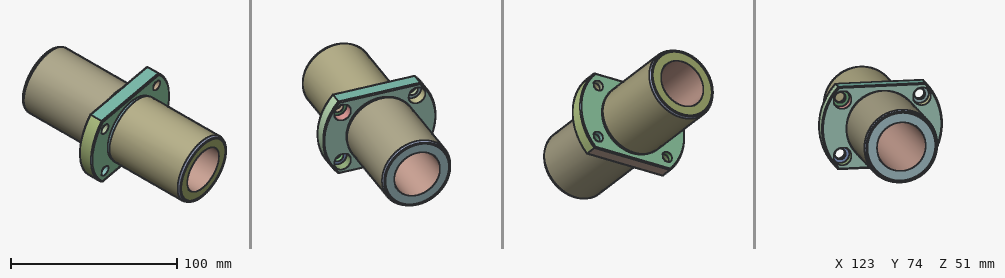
import cadquery as cq
import math

tube_length = 123.0
tube_diameter = 45.0
bore_diameter = 30.0

lead_in_length = 1.6
lead_in_depth = 0.7

recess_diameter = 41.7
recess_depth = 0.1

flange_diameter = 74.0
flange_height = 51.0
flange_thickness = 10.0
flange_chamfer = 0.7

groove_width = 2.0
groove_depth = 0.6
groove_overlap = 0.6

pitch_radius = 30.0
hole_angle = 35.5
hole_diameter = 6.6
counterbore_diameter = 11.0
counterbore_depth = 6.4


def x_cylinder(diameter, length, start_x):
    """Solid cylinder along X that begins at start_x."""
    return cq.Workplane("YZ").workplane(offset=start_x).circle(diameter / 2).extrude(length)


def make_tube():
    half_length = tube_length / 2
    radius = tube_diameter / 2
    half_profile = (
        cq.Workplane("XY")
        .moveTo(-half_length, 0)
        .lineTo(-half_length, radius - lead_in_depth)
        .lineTo(-half_length + lead_in_length, radius)
        .lineTo(half_length - lead_in_length, radius)
        .lineTo(half_length, radius - lead_in_depth)
        .lineTo(half_length, 0)
        .close()
    )
    return half_profile.revolve(360, (0, 0, 0), (1, 0, 0))


def make_end_recess(side):
    """Thin disc to remove from the tube end on the given side (-1 or 1)."""
    end_x = side * tube_length / 2
    return x_cylinder(recess_diameter, recess_depth, min(end_x, end_x - side * recess_depth))


def make_groove_cutter(side):
    """Ring with a concave arc floor, next to the flange face on the given side (-1 or 1)."""
    radius = tube_diameter / 2
    outer_x = side * (flange_thickness / 2 + groove_width)
    inner_x = side * (flange_thickness / 2 - groove_overlap)
    middle_x = (inner_x + outer_x) / 2
    profile = (
        cq.Workplane("XY")
        .moveTo(inner_x, radius)
        .threePointArc((middle_x, radius - groove_depth), (outer_x, radius))
        .close()
    )
    return profile.revolve(360, (0, 0, 0), (1, 0, 0))


def make_flange():
    disc = x_cylinder(flange_diameter, flange_thickness, -flange_thickness / 2)
    flats = cq.Workplane("XY").box(flange_thickness, flange_diameter, flange_height)
    flange = disc.intersect(flats)
    return flange.faces("<X or >X").edges().chamfer(flange_chamfer)


def make_screw_holes():
    hole_y = pitch_radius * math.cos(math.radians(hole_angle))
    hole_z = pitch_radius * math.sin(math.radians(hole_angle))
    flange_front = -flange_thickness / 2
    drill = x_cylinder(hole_diameter, flange_thickness, flange_front)
    counterbore = x_cylinder(counterbore_diameter, counterbore_depth, flange_front)
    cutter = drill.union(counterbore)
    holes = cq.Workplane("YZ")
    for y in (-hole_y, hole_y):
        for z in (-hole_z, hole_z):
            holes = holes.add(cutter.translate((0, y, z)))
    return holes.combine()


tube = make_tube()
for side in (-1, 1):
    tube = tube.cut(make_end_recess(side)).cut(make_groove_cutter(side))

flange = make_flange().cut(make_screw_holes())
bore = x_cylinder(bore_diameter, tube_length, -tube_length / 2)
result = tube.union(flange).cut(bore)